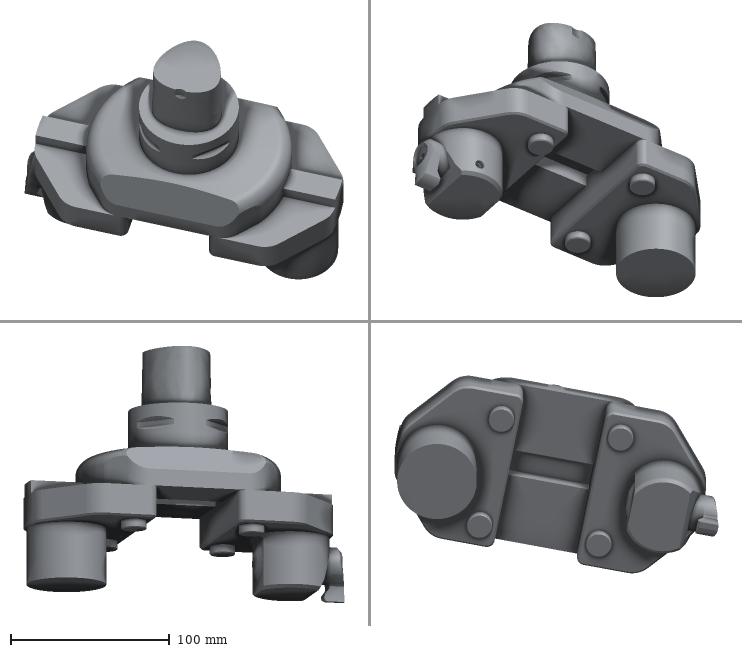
import cadquery as cq
import math


overall_length = 206.0
overall_height = 156.0
body_width = 104.0
slant_angle = 50.0
plan_fillet = 16.0

cut_margin = 2.0

bridge_radius = 65.0
bridge_corner_x = 40.0
shoulder_z = 28.8
shoulder_radius = 34.0
cone_angle = 7.2
dome_fillet = 10.3
side_bevel_bottom_z = 10.7
side_bevel_angle = 54.0

flange_radius = 31.5
flange_top_z = 58.1
groove_z = 46.2
groove_floor_radius = 28.5
groove_floor_height = 3.5
groove_mouth_height = 7.8

shank_top_z = 96.2
shank_straight_length = 3.0
shank_mean_radius = 22.0
shank_lobe = 1.6
shank_taper_drop = 0.8
shank_curve_points = 36
notch_radius = 5.8
notch_axis_y = -24.0
notch_edge_z = 90.3

guide_slot_height = 9.3

slide_end_x = 98.5
slide_inner_x = 26.5
slide_corner_x = 67.2
slide_thickness = 20.2
slide_inner_fillet = 5.0
slide_chamfer = 1.2
key_width = 16.9
key_height = 8.0

post_diameter = 50.3
post_x = -72.3
post_y = 2.0
post_bottom_z = -56.0
post_chamfer = 2.0

bolt_head_diameter = 16.0
bolt_head_x = -38.1
bolt_row_y = post_y / 2
bolt_spacing = 72.3
bolt_head_bottom_z = -25.5
bolt_head_chamfer = 0.6

relief_top_z = -24.1
relief_break_x = -90.3
relief_break_z = -48.5
relief_bottom_x = -86.1
flat_x = -51.5
flat_top_z = -23.5

clearance_floor_x = -89.5
clearance_half_width = 12.4
clearance_bottom_z = -50.0
clearance_height = 15.5

side_hole_x = -76.2
side_hole_z = -47.4
side_hole_diameter = 6.2
side_hole_floor_diameter = 5.0
side_hole_tip_diameter = 1.5
side_hole_depth = 2.5
side_hole_cone_depth = 1.6

tool_y = post_y
tool_z = -36.7
cartridge_radius = 12.0
cartridge_front_x = post_x - post_diameter / 2
cartridge_nose_length = 2.3
cartridge_nose_radius = 6.0

insert_front_x = slide_end_x - overall_length
insert_tip_z = shank_top_z - overall_height
insert_rim_x = -102.0
insert_front_radius = 20.6
insert_front_tilt = 3.5
insert_depth = 16.5
tip_flare_top_z = -51.3
tip_flare_x = -94.5
tip_flare_z = -55.2
tip_rear_x = -94.2
tip_rear_z = -58.1
tip_heel_x = -97.3

recess_half_angle = 35.0
screw_head_diameter = 13.8
screw_face_x = -103.2
screw_head_length = 3.0
screw_stem_diameter = 8.0
screw_stem_length = 14.5
socket_diameter = 4.7
socket_depth = 1.6


def disc(radius, bottom_z, top_z, x=0.0, y=0.0):
    """Upright cylinder between two heights."""
    return cq.Workplane("XY", origin=(x, y, bottom_z)).circle(radius).extrude(top_z - bottom_z)


def tool_cylinder(diameter, start_x, length):
    """Cylinder on the cartridge axis, growing toward +X."""
    plane = cq.Workplane("YZ", origin=(start_x, tool_y, tool_z))
    return plane.circle(diameter / 2).extrude(length)


def side_prism(points):
    """Prism through the whole width from an outline in X and Z."""
    return cq.Workplane("XZ").polyline(points).close().extrude(body_width / 2, both=True)


def plan_block(corner_x, end_radius, bottom_z, top_z):
    """Flat-sided block with slanted corners and round ends."""
    half_width = body_width / 2
    apex_x = corner_x + half_width / math.tan(math.radians(slant_angle))
    outline = [
        (corner_x, -half_width),
        (apex_x, 0),
        (corner_x, half_width),
        (-corner_x, half_width),
        (-apex_x, 0),
        (-corner_x, -half_width),
    ]
    block = cq.Workplane("XY", origin=(0, 0, bottom_z)).polyline(outline).close()
    block = block.extrude(top_z - bottom_z)
    block = block.edges("|Z and (<Y or >Y)").fillet(plan_fillet)
    block = block.intersect(disc(end_radius, bottom_z, top_z))

    def is_end_corner(edge):
        place = edge.Center()
        on_end = abs(math.hypot(place.x, place.y) - end_radius) < 0.02
        return on_end and abs(place.y) > key_width / 2

    return block.edges("|Z").filter(is_end_corner).fillet(plan_fillet)


def dome():
    """Shallow cone with a rounded rim, standing on a wider foot below the rim."""
    slope = math.radians(cone_angle)
    arc_x = bridge_radius - dome_fillet
    corner_z = shoulder_z - (bridge_radius - shoulder_radius) * math.tan(slope)
    arc_z = corner_z + dome_fillet * (math.tan(slope) - 1 / math.cos(slope))

    def rim(angle):
        return (arc_x + dome_fillet * math.cos(angle), arc_z + dome_fillet * math.sin(angle))

    arc_end = math.pi / 2 - slope
    foot_radius = bridge_radius + cut_margin
    return (
        cq.Workplane("XZ")
        .lineTo(foot_radius, 0)
        .lineTo(foot_radius, arc_z)
        .lineTo(bridge_radius, arc_z)
        .threePointArc(rim(arc_end / 2), rim(arc_end))
        .lineTo(shoulder_radius, shoulder_z)
        .lineTo(0, shoulder_z)
        .close()
        .revolve(360, (0, 0), (0, 1))
    )


def bridge():
    """Domed bridge with bevelled long sides."""
    half_width = body_width / 2
    bevel_height = shoulder_z - side_bevel_bottom_z
    top_half_width = half_width - bevel_height / math.tan(math.radians(side_bevel_angle))
    bevelled_section = [
        (-half_width, 0),
        (half_width, 0),
        (half_width, side_bevel_bottom_z),
        (top_half_width, shoulder_z),
        (-top_half_width, shoulder_z),
        (-half_width, side_bevel_bottom_z),
    ]
    envelope = cq.Workplane("YZ").polyline(bevelled_section).close()
    envelope = envelope.extrude(bridge_radius, both=True)
    plan = plan_block(bridge_corner_x, bridge_radius, 0, shoulder_z)
    return plan.intersect(envelope).intersect(dome())


def gripper_groove(angle):
    """Cutter for one flat-floored groove across the flange rim."""
    mouth_depth = flange_radius - groove_floor_radius
    flare = (groove_mouth_height - groove_floor_height) / 2
    floor = groove_floor_height / 2
    section = [
        (groove_floor_radius, groove_z - floor),
        (groove_floor_radius + mouth_depth, groove_z - floor - flare),
        (groove_floor_radius + mouth_depth, groove_z + floor + flare),
        (groove_floor_radius, groove_z + floor),
    ]
    cutter = cq.Workplane("XZ").polyline(section).close().extrude(flange_radius, both=True)
    return cutter.rotate((0, 0, 0), (0, 0, 1), angle)


def flange():
    ring = disc(flange_radius, shoulder_z, flange_top_z)
    for angle in (45, 135, 225, 315):
        ring = ring.cut(gripper_groove(angle))
    return ring


def shank_outline(z, inset):
    """Closed three-lobed curve with one lobe toward +Y."""
    radius = shank_mean_radius - inset
    points = []
    for step in range(shank_curve_points):
        turn = 2 * math.pi * step / shank_curve_points
        x = radius * math.sin(turn) - shank_lobe * math.sin(2 * turn)
        y = radius * math.cos(turn) + shank_lobe * math.cos(2 * turn)
        points.append(cq.Vector(x, y, z))
    return cq.Wire.assembleEdges([cq.Edge.makeSpline(points, periodic=True)])


def shank():
    """Polygon taper shank with an index notch at the top of its -Y side."""
    taper_start_z = flange_top_z + shank_straight_length
    base = shank_outline(flange_top_z, 0)
    taper_start = shank_outline(taper_start_z, 0)
    taper_end = shank_outline(shank_top_z, shank_taper_drop)
    straight = cq.Workplane(cq.Solid.makeLoft([base, taper_start], True))
    taper = cq.Workplane(cq.Solid.makeLoft([taper_start, taper_end], True))
    notch = disc(notch_radius, notch_edge_z, shank_top_z, y=notch_axis_y)
    notch_tip = cq.Solid.makeCone(
        notch_radius, 0, notch_radius, pnt=(0, notch_axis_y, notch_edge_z), dir=(0, 0, -1)
    )
    return straight.union(taper).cut(notch).cut(cq.Workplane(notch_tip))


def make_adaptor():
    slot = cq.Workplane("XY").box(
        2 * bridge_radius, key_width, guide_slot_height, centered=(True, True, False)
    )
    return bridge().cut(slot).union(flange()).union(shank())


def slide_plate():
    plate = plan_block(slide_corner_x, slide_end_x, -slide_thickness, 0)
    cut_off = cq.Workplane("XY").box(
        slide_end_x + slide_inner_x, body_width, slide_thickness, centered=(False, True, False)
    )
    plate = plate.cut(cut_off.translate((-slide_inner_x, 0, -slide_thickness)))
    plate = plate.edges("|Z and >X").fillet(slide_inner_fillet)
    return plate.faces("<Z").chamfer(slide_chamfer)


def make_slide():
    """Slide on the -X side: plate, guide key, round post and two bolt heads."""
    key = cq.Workplane("XY").box(
        slide_end_x - slide_inner_x, key_width, key_height, centered=(False, True, False)
    )
    key = key.translate((-slide_end_x, 0, 0)).intersect(disc(slide_end_x, 0, key_height))
    slide = slide_plate().union(key)
    slide = slide.union(disc(post_diameter / 2, post_bottom_z, -slide_thickness, post_x, post_y))
    for side in (-1, 1):
        bolt_y = bolt_row_y + side * bolt_spacing / 2
        head = disc(bolt_head_diameter / 2, bolt_head_bottom_z, -slide_thickness, bolt_head_x, bolt_y)
        slide = slide.union(head.faces("<Z").chamfer(bolt_head_chamfer))
    return slide


def side_hole():
    """Cutter for the small stepped hole entering the post from -Y."""
    half_chord = math.sqrt((post_diameter / 2) ** 2 - (side_hole_x - post_x) ** 2)
    floor_y = post_y - half_chord + side_hole_depth
    bore = cq.Workplane("XZ", origin=(side_hole_x, floor_y, side_hole_z))
    bore = bore.circle(side_hole_diameter / 2).extrude(2 * side_hole_depth)
    cone = cq.Solid.makeCone(
        side_hole_floor_diameter / 2,
        side_hole_tip_diameter / 2,
        side_hole_cone_depth,
        pnt=(side_hole_x, floor_y, side_hole_z),
        dir=(0, 1, 0),
    )
    return bore.union(cq.Workplane(cone))


def make_boring_slide(cartridge):
    """Slide whose post is relieved and bored for the cartridge."""
    slide = make_slide().faces("<Z").chamfer(post_chamfer)
    post_left_x = post_x - post_diameter / 2
    post_right_x = post_x + post_diameter / 2
    front_relief = side_prism([
        (post_left_x, relief_top_z),
        (relief_break_x, relief_break_z),
        (relief_bottom_x, post_bottom_z),
        (post_left_x, post_bottom_z),
    ])
    runout = post_right_x - flat_x
    rear_flat = side_prism([
        (flat_x, post_bottom_z),
        (flat_x, flat_top_z),
        (post_right_x, flat_top_z + runout),
        (post_right_x, post_bottom_z),
    ])
    rear_flat = rear_flat.intersect(disc(post_diameter, post_bottom_z, -slide_thickness, post_x, post_y))
    clearance_corner = (post_left_x, tool_y - clearance_half_width, clearance_bottom_z)
    clearance = cq.Workplane("XY", origin=clearance_corner).box(
        clearance_floor_x - post_left_x, clearance_half_width, clearance_height, centered=False
    )
    slide = slide.cut(front_relief).cut(rear_flat).cut(clearance)
    return slide.cut(cartridge).cut(side_hole())


def make_screw_blank():
    """Flat screw head and stem, without the socket."""
    head = tool_cylinder(screw_head_diameter, screw_face_x, screw_head_length)
    return head.union(tool_cylinder(screw_stem_diameter, screw_face_x, screw_stem_length))


def make_screw(screw_blank):
    """Insert screw with a hexagon socket in its head."""
    socket = cq.Workplane("YZ", origin=(screw_face_x, tool_y, tool_z))
    socket = socket.transformed(rotate=(0, 0, 90)).polygon(6, socket_diameter).extrude(socket_depth)
    return screw_blank.cut(socket)


def make_cartridge():
    """Round cartridge through the post, with a conical rear nose."""
    shaft = tool_cylinder(2 * cartridge_radius, cartridge_front_x, flat_x - cartridge_front_x)
    nose = cq.Solid.makeCone(
        cartridge_radius,
        cartridge_nose_radius,
        cartridge_nose_length,
        pnt=(flat_x, tool_y, tool_z),
        dir=(1, 0, 0),
    )
    return shaft.union(cq.Workplane(nose))


def rim_point(angle):
    """Point on the round insert head, measured from its axis."""
    turn = math.radians(angle)
    return (cartridge_radius * math.cos(turn), cartridge_radius * math.sin(turn))


def insert_blank():
    """Round head with a blade hanging from it, as a prism along X."""
    reach = tool_z - insert_tip_z
    return (
        cq.Workplane("YZ", origin=(insert_front_x, tool_y, tool_z))
        .moveTo(*rim_point(-35))
        .threePointArc((6.8, -9.9), (3.5, -12.0))
        .lineTo(2.5, -13.2)
        .lineTo(2.5, -reach)
        .lineTo(-1.5, -reach)
        .threePointArc((-4.7, -21.5), (-7.2, -19.0))
        .lineTo(*rim_point(194))
        .threePointArc(rim_point(90), rim_point(-35))
        .close()
        .extrude(insert_depth)
    )


def rim_bevel():
    """Conical cutter along the upper half of the head rim."""
    bevel = insert_rim_x - insert_front_x
    outer_radius = cartridge_radius + cut_margin
    section = [
        (0, cartridge_radius - bevel),
        (0, outer_radius),
        (bevel, outer_radius),
        (bevel, cartridge_radius),
    ]
    plane = cq.Workplane("XY", origin=(insert_front_x, tool_y, tool_z))
    return plane.polyline(section).close().revolve(180, (0, 0), (1, 0))


def make_insert(screw_blank):
    """Cutting insert: crowned front face, conical rim and a tip that widens rearward."""
    side_profile = side_prism([
        (insert_front_x, tool_z + 2 * cartridge_radius),
        (cartridge_front_x, tool_z + 2 * cartridge_radius),
        (cartridge_front_x, tip_flare_top_z),
        (tip_flare_x, tip_flare_z),
        (tip_rear_x, tip_rear_z),
        (tip_heel_x, insert_tip_z - cut_margin),
        (insert_front_x, insert_tip_z - cut_margin),
    ])
    insert = insert_blank().intersect(side_profile)

    crown = cq.Workplane("XY", origin=(insert_front_x + insert_front_radius, tool_y, insert_tip_z))
    crown = crown.circle(insert_front_radius).extrude(overall_height / 2, both=True)
    crown = crown.rotate(
        (insert_front_x, 0, insert_tip_z), (insert_front_x, 1, insert_tip_z), insert_front_tilt
    )
    insert = insert.intersect(crown).cut(rim_bevel())

    recess_depth = screw_face_x - insert_front_x
    recess_flare = recess_depth * math.tan(math.radians(recess_half_angle))
    recess = cq.Solid.makeCone(
        screw_head_diameter / 2 + recess_flare,
        screw_head_diameter / 2,
        recess_depth,
        pnt=(insert_front_x, tool_y, tool_z),
        dir=(1, 0, 0),
    )
    return insert.cut(cq.Workplane(recess)).cut(screw_blank)


screw_blank = make_screw_blank()
screw = make_screw(screw_blank)
cartridge_blank = make_cartridge()
adaptor = make_adaptor()
counter_slide = make_slide().rotate((0, 0, 0), (0, 0, 1), 180)
boring_slide = make_boring_slide(cartridge_blank)
cartridge = cartridge_blank.cut(screw_blank)
insert = make_insert(screw_blank)

result = cq.Compound.makeCompound([
    adaptor.val(),
    counter_slide.val(),
    boring_slide.val(),
    cartridge.val(),
    insert.val(),
    screw.val(),
])